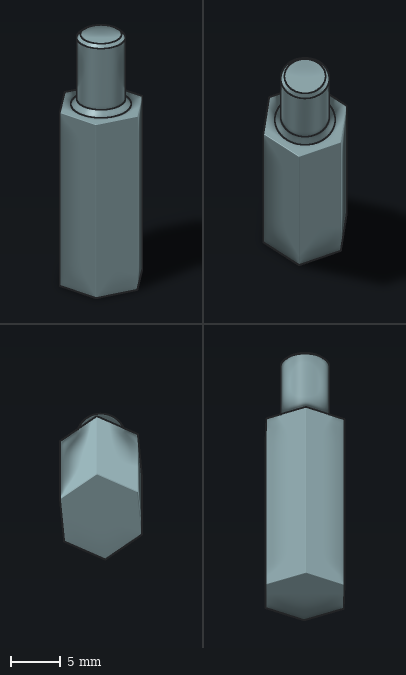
import cadquery as cq
import math

total_length = 28.0
body_length = 20.0
across_flats = 8.0

stud_radius = 2.5
stud_length = total_length - body_length
tip_chamfer_width = 0.4
tip_chamfer_height = 0.35

collar_radius = 3.08
collar_height = 0.62

edge_radius = 0.1


def hexagonal_body():
    """Hexagonal prism with corners on the X axis and all edges rounded."""
    across_corners = across_flats / math.cos(math.pi / 6)
    prism = cq.Workplane("XY").polygon(6, across_corners).extrude(body_length)
    return prism.edges().fillet(edge_radius)


def stud():
    """Revolved stud with a conical collar at its root and a chamfered tip."""
    tip_radius = stud_radius - tip_chamfer_width
    root_overlap = edge_radius
    profile = (
        cq.Workplane("XZ", origin=(0, 0, body_length))
        .moveTo(0, -root_overlap)
        .lineTo(collar_radius, -root_overlap)
        .lineTo(collar_radius, 0)
        .lineTo(stud_radius, collar_height)
        .lineTo(stud_radius, stud_length - tip_chamfer_height)
        .lineTo(tip_radius, stud_length)
        .lineTo(0, stud_length)
        .close()
    )
    return profile.revolve(360, (0, 0, 0), (0, 1, 0))


result = hexagonal_body().union(stud())